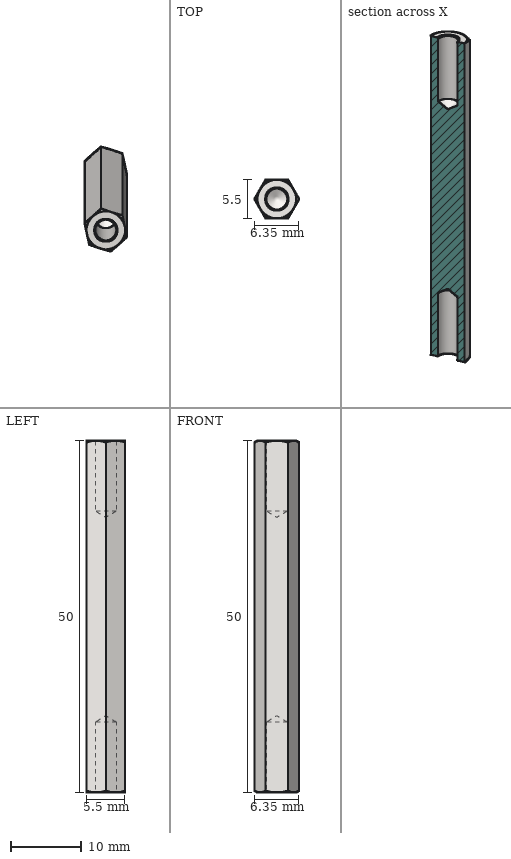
import cadquery as cq
import math

length = 50.0
across_flats = 5.5
across_corners = across_flats / math.cos(math.radians(30))

chamfer_angle = 30.0
face_diameter = across_flats
corner_inset = (across_corners - face_diameter) / 2
corner_drop = corner_inset * math.tan(math.radians(chamfer_angle))

hole_diameter = 3.0
hole_depth = 10.0
drill_point_angle = 118.0
countersink_diameter = 3.3


def corner_envelope():
    """Cylinder with conical ends that trims the hexagon corners."""
    half = length / 2
    profile = [
        (0, -half),
        (face_diameter / 2, -half),
        (across_corners / 2, -half + corner_drop),
        (across_corners / 2, half - corner_drop),
        (face_diameter / 2, half),
        (0, half),
    ]
    return cq.Workplane("XZ").polyline(profile).close().revolve(360, (0, 0), (0, 1))


def end_hole():
    """Blind drilled hole entering from the +Z end, with a 45 degree lead-in."""
    top = length / 2
    radius = hole_diameter / 2
    lead_in = (countersink_diameter - hole_diameter) / 2
    point_height = radius / math.tan(math.radians(drill_point_angle / 2))
    profile = [
        (0, top),
        (countersink_diameter / 2, top),
        (radius, top - lead_in),
        (radius, top - hole_depth),
        (0, top - hole_depth - point_height),
    ]
    return cq.Workplane("XZ").polyline(profile).close().revolve(360, (0, 0), (0, 1))


hexagon = (
    cq.Workplane("XY")
    .polygon(6, across_corners)
    .extrude(length / 2, both=True)
)
top_hole = end_hole()
bottom_hole = top_hole.mirror("XY")

result = hexagon.intersect(corner_envelope()).cut(top_hole).cut(bottom_hole)